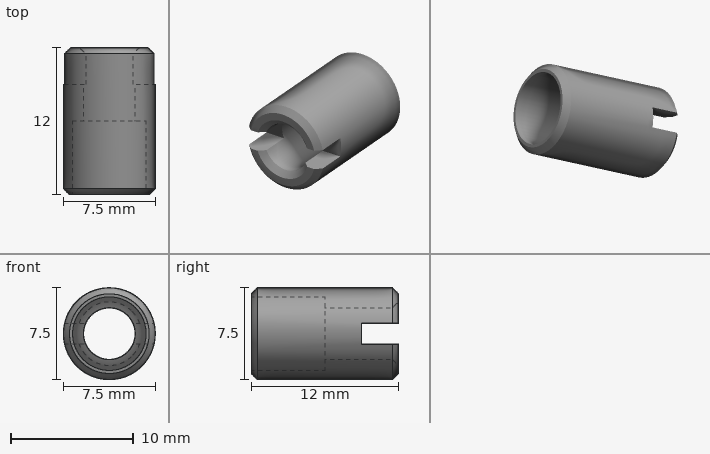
import cadquery as cq

length = 12.0
outer_diameter = 7.5
outer_chamfer = 0.5
through_diameter = 4.2
bore_chamfer = 0.5
counterbore_diameter = 6.0
counterbore_depth = length / 2
slot_width = 1.7
slot_depth = 3.0


def rod(diameter, rod_length):
    """Cylinder along +Y starting at Y = 0."""
    return cq.Workplane("XZ").circle(diameter / 2).extrude(-rod_length)


def chamfered_body():
    """Outer cylinder with both end edges chamfered."""
    return rod(outer_diameter, length).edges("%CIRCLE").chamfer(outer_chamfer)


def bore_stepped(body):
    """Drill the through hole, chamfer its mouth at the slotted end and widen the other end."""
    drilled = body.cut(rod(through_diameter, length))
    mouth_edge = cq.selectors.RadiusNthSelector(0)
    countersunk = drilled.faces(">Y").edges(mouth_edge).chamfer(bore_chamfer)
    return countersunk.cut(rod(counterbore_diameter, counterbore_depth))


def driver_slot():
    """Slot across the full diameter along X, open at the far end."""
    slot_center_y = length - slot_depth / 2
    slot = cq.Workplane("XY").box(outer_diameter, slot_depth, slot_width)
    return slot.translate((0, slot_center_y, 0))


result = bore_stepped(chamfered_body()).cut(driver_slot())